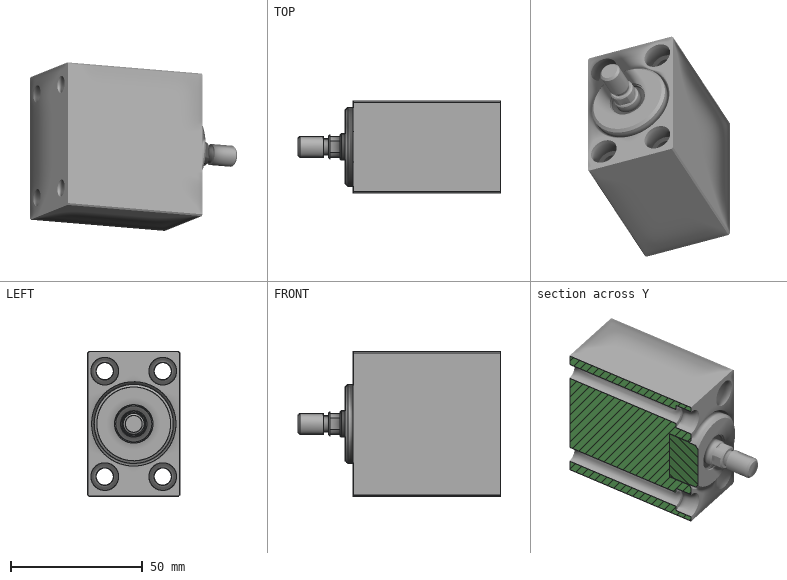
import cadquery as cq


housing_length = 56.0
housing_width = 35.0
housing_height = 55.0
long_edge_chamfer = 0.6

hole_spacing_y = 22.0
hole_spacing_z = 40.0
hole_diameter = 6.5
counterbore_diameter = 10.5
counterbore_depth = 7.0

gland_radius = 15.0
gland_projection = 3.0
gland_insertion = 10.0
gland_chamfer = 1.0
bore_chamfer = 1.0
gland_front_x = -gland_projection

wiper_radius = 7.3
wiper_setback = 0.7
wiper_length = 3.0
wiper_recess_radius = 6.85
wiper_recess_depth = 1.0
wiper_front_x = gland_front_x + wiper_setback
wiper_back_x = wiper_front_x + wiper_length

rod_radius = 5.0
rod_projection = 21.0
rod_shoulder_chamfer = 0.5
thread_radius = 4.0
thread_length = 9.75
thread_chamfer = 0.8
neck_radius = 3.1
neck_length = 1.9
neck_fillet = 0.3
wrench_radius = 4.55
wrench_length = 4.4
wrench_chamfer = 0.5
across_flats = 8.0
wrench_rim_width = 0.15
rod_tip_x = -rod_projection
neck_start_x = rod_tip_x + thread_length
wrench_start_x = neck_start_x + neck_length
wrench_end_x = wrench_start_x + wrench_length
flats_start_x = wrench_start_x + wrench_chamfer + wrench_rim_width
flats_length = wrench_end_x - flats_start_x


def cylinder(radius, start_x, end_x):
    """Solid cylinder on the X axis between two stations."""
    return cq.Workplane("YZ").workplane(offset=start_x).circle(radius).extrude(end_x - start_x)


def make_housing():
    """Rectangular block with a blind bore for the gland and four counterbored through holes."""
    block = (
        cq.Workplane("YZ")
        .rect(housing_width, housing_height)
        .extrude(housing_length)
        .edges("|X")
        .chamfer(long_edge_chamfer)
    )
    block = (
        block.faces("<X")
        .workplane(origin=(0, 0, 0))
        .rect(hole_spacing_y, hole_spacing_z, forConstruction=True)
        .vertices()
        .cboreHole(hole_diameter, counterbore_diameter, counterbore_depth)
    )
    bore = cylinder(gland_radius, 0, gland_insertion)
    bore_mouth = cq.selectors.RadiusNthSelector(-1)
    return block.cut(bore).faces("<X").edges(bore_mouth).chamfer(bore_chamfer)


def make_gland():
    """Flanged plug with a rod bore and a front pocket for the wiper."""
    plug = cylinder(gland_radius, gland_front_x, gland_insertion).faces("<X").chamfer(gland_chamfer)
    rod_bore = cylinder(rod_radius, gland_front_x, gland_insertion)
    wiper_pocket = cylinder(wiper_radius, gland_front_x, wiper_back_x)
    return plug.cut(rod_bore).cut(wiper_pocket)


def make_wiper():
    """Ring around the rod with a shallow recess in its front face."""
    ring = cylinder(wiper_radius, wiper_front_x, wiper_back_x)
    recess = cylinder(wiper_recess_radius, wiper_front_x, wiper_front_x + wiper_recess_depth)
    rod_bore = cylinder(rod_radius, wiper_front_x, wiper_back_x)
    return ring.cut(recess).cut(rod_bore)


def make_rod():
    """Turned rod with a threaded end, an undercut neck and four wrench flats."""
    turned = (
        cq.Workplane("XY")
        .moveTo(rod_tip_x, 0)
        .lineTo(rod_tip_x, thread_radius - thread_chamfer)
        .lineTo(rod_tip_x + thread_chamfer, thread_radius)
        .lineTo(neck_start_x, thread_radius)
        .lineTo(neck_start_x, neck_radius + neck_fillet)
        .radiusArc((neck_start_x + neck_fillet, neck_radius), -neck_fillet)
        .lineTo(wrench_start_x, neck_radius)
        .lineTo(wrench_start_x, wrench_radius - wrench_chamfer)
        .lineTo(wrench_start_x + wrench_chamfer, wrench_radius)
        .lineTo(wrench_end_x, wrench_radius)
        .lineTo(wrench_end_x + rod_shoulder_chamfer, rod_radius)
        .lineTo(gland_insertion, rod_radius)
        .lineTo(gland_insertion, 0)
        .close()
        .revolve(360, (0, 0, 0), (1, 0, 0))
    )
    square = (
        cq.Workplane("YZ")
        .workplane(offset=flats_start_x)
        .rect(across_flats, across_flats)
        .extrude(flats_length)
    )
    flats_cutter = cylinder(rod_radius, flats_start_x, wrench_end_x).cut(square)
    return turned.cut(flats_cutter)


housing = make_housing()
gland = make_gland()
wiper = make_wiper()
rod = make_rod()

result = cq.Compound.makeCompound([housing.val(), gland.val(), wiper.val(), rod.val()])